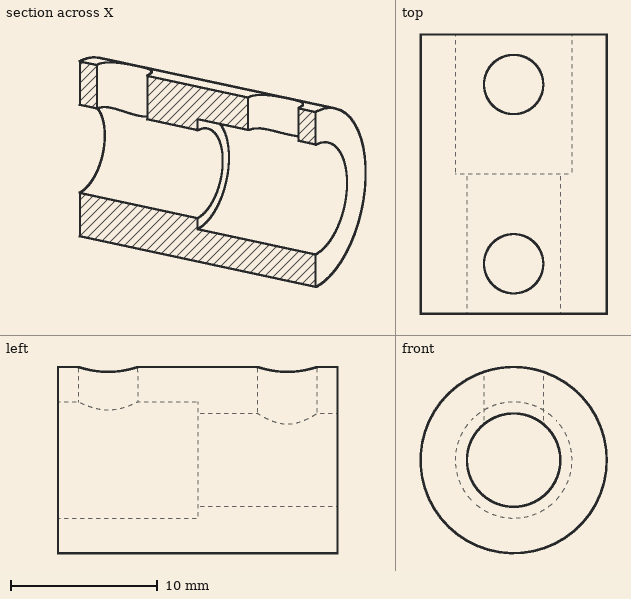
import cadquery as cq

outer_diameter = 12.7
length = 19.05

front_bore_diameter = 6.35
rear_bore_diameter = 7.9375
bore_depth = length / 2

screw_hole_diameter = 4.04
screw_hole_end_distance = 3.42
screw_hole_offset = length / 2 - screw_hole_end_distance


def make_body():
    """Solid cylinder with its axis along Y."""
    return cq.Workplane("XZ").circle(outer_diameter / 2).extrude(length / 2, both=True)


def make_bore(diameter, direction):
    """Cutter from mid-length to the end in the given Y direction (-1 or +1)."""
    return cq.Workplane("XZ").circle(diameter / 2).extrude(-direction * bore_depth)


def make_screw_holes():
    """One vertical cutter near each end, from the bore axis out through the top wall."""
    return (
        cq.Workplane("XY")
        .pushPoints([(0, -screw_hole_offset), (0, screw_hole_offset)])
        .circle(screw_hole_diameter / 2)
        .extrude(outer_diameter)
    )


result = (
    make_body()
    .cut(make_bore(front_bore_diameter, -1))
    .cut(make_bore(rear_bore_diameter, 1))
    .cut(make_screw_holes())
)